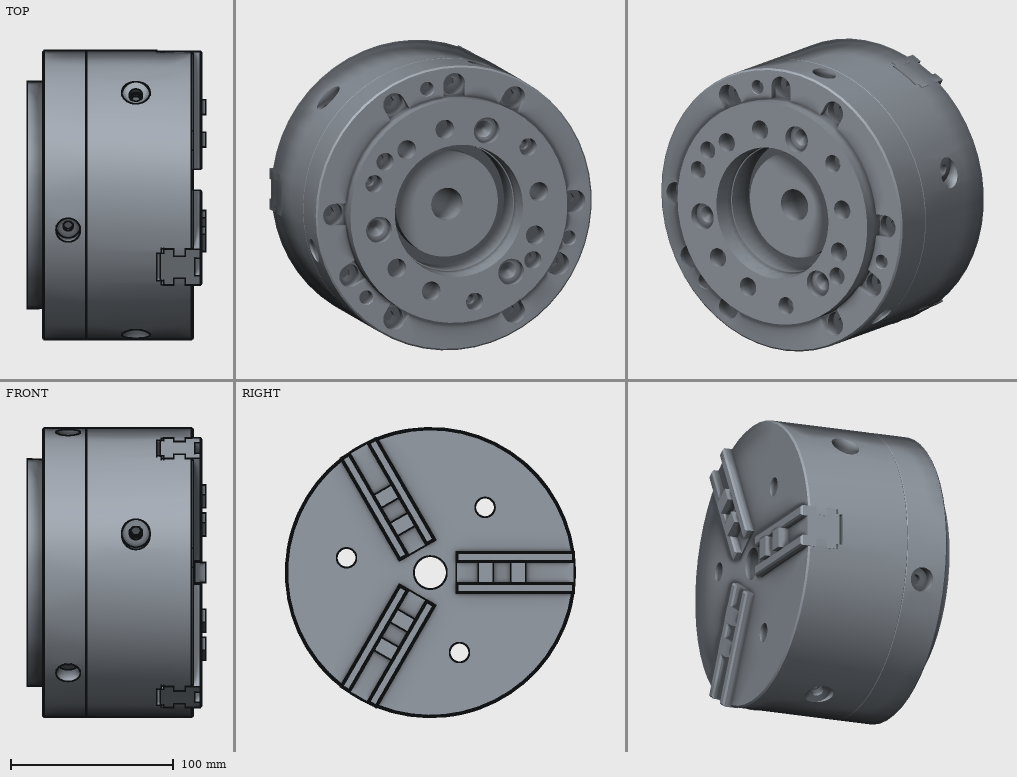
import cadquery as cq
import math

TRIPLE = (0, 120, 240)

body_radius = 89.0
spigot_radius = 70.0
spigot_length = 9.6
spigot_wall_radius = 65.9
seam_x = 36.3
front_x = 102.2
rim_chamfer = 1.0
seam_depth = 0.4
seam_half_width = 0.4
spigot_gap = 0.5
spigot_gap_depth = 0.7

bore_mouth_radius = 41.3
taper_end_radius = 40.4
taper_length = 11.0
bore_radius = 39.7
bore_step_x = 15.0
bore_depth = 33.8
hub_radius = 33.0
hub_face_x = 24.7
center_hole_diameter = 20.1

inner_circle_radius = 52.3
outer_circle_radius = 58.2
mount_hole_diameter = 12.0
mount_hole_depth = 14.2
through_hole_angle = 50
blind_hole_angle = 80
stepped_hole_angle = 110
stepped_hole_diameter = 16.5
stepped_hole_depth = 6.0
drill_cone_diameter = 10.3
drill_tip_half_angle = 59
small_hole_diameter = 11.0
small_hole_depth = 10.7
thread_hole_angle = 20
thread_mouth_diameter = 7.0
thread_core_diameter = 5.0
thread_depth = 8.9
pilot_hole_angles = (35, 215)
pilot_hole_diameter = 5.0
pilot_hole_depth = 3.5

screw_circle_radius = 77.5
screw_angles = [group + 90 + offset for group in TRIPLE for offset in (-30, 0, 30)]
screw_pocket_diameter = 14.0
screw_slot_depth = 4.5
slot_end_radius = 67.6
screw_head_depth = 10.7
hex_socket_diameter = 6.8
hex_socket_depth = 3.5
dowel_angle = 77
dowel_diameter = 8.5
dowel_mouth_diameter = 9.0
dowel_depth = 8.9

rear_port_angle = 104
rear_port_x = 25.3
rear_port_diameter = 15.0
rear_port_floor_radius = 78.3
rear_port_core_diameter = 6.0
rear_port_core_depth = 5.3
pinion_angle = 43.4
pinion_tilt = 26.6
pinion_x = 67.0
pinion_port_diameter = 17.5
pinion_floor_radius = 84.7
pinion_hole_diameter = 8.0
pinion_hole_depth = 6.4
pinion_hex_diameter = 7.0
pinion_hex_depth = 5.0

jaw_inner = 15.8
jaw_outer = 88.5
jaw_width = 25.6
jaw_neck_width = 15.7
jaw_foot_width = 19.4
jaw_x = 81.9
jaw_shoulder_x = 84.0
neck_start_x = 90.2
neck_end_x = 97.2
jaw_front_x = 107.5
jaw_chamfer = 1.0
slot_x = 79.7
slot_shoulder_x = 82.6
key_slot_width = 12.5
key_slot_x = 103.2
key_front_x = 110.0
key_length = 9.3
key_inner_radii = (29.5, 49.5)


def spots(radius, angles):
    """Points (y, z) on a circle about the spindle axis."""
    return [(radius * math.cos(math.radians(a)), radius * math.sin(math.radians(a))) for a in angles]


def triple(first_angle):
    """Three angles, a third of a turn apart."""
    return [first_angle + step for step in TRIPLE]


def axial_hole(points, diameter, start_x, depth):
    return cq.Workplane("YZ", origin=(start_x, 0, 0)).pushPoints(points).circle(diameter / 2).extrude(depth)


def axial_cones(points, start_x, mouth_diameter, end_diameter, depth):
    cone = cq.Solid.makeCone(
        mouth_diameter / 2, end_diameter / 2, depth, pnt=cq.Vector(start_x, 0, 0), dir=cq.Vector(1, 0, 0)
    )
    cones = cq.Workplane("YZ")
    for y, z in points:
        cones = cones.add(cone.translate(cq.Vector(0, y, z)))
    return cones.combine()


def about_axis(shape, angle):
    return shape.rotate((0, 0, 0), (1, 0, 0), angle)


def drill_tip_length(diameter):
    return diameter / 2 / math.tan(math.radians(drill_tip_half_angle))


def make_body():
    """Half section of the chuck, revolved about X; it ends on the center hole."""
    center_radius = center_hole_diameter / 2
    rim = body_radius - rim_chamfer
    gap_radius = spigot_radius + spigot_gap
    section = [
        (hub_face_x, center_radius),
        (hub_face_x, hub_radius),
        (bore_depth, hub_radius),
        (bore_depth, bore_radius),
        (bore_step_x, bore_radius),
        (bore_step_x, taper_end_radius),
        (taper_length, taper_end_radius),
        (0, bore_mouth_radius),
        (0, spigot_radius),
        (spigot_length + spigot_gap_depth, spigot_radius),
        (spigot_length + spigot_gap_depth, gap_radius),
        (spigot_length, gap_radius),
        (spigot_length, rim),
        (spigot_length + rim_chamfer, body_radius),
        (seam_x - seam_half_width, body_radius),
        (seam_x, body_radius - seam_depth),
        (seam_x + seam_half_width, body_radius),
        (front_x - rim_chamfer, body_radius),
        (front_x, rim),
        (front_x, center_radius),
    ]
    return cq.Workplane("XY").polyline(section).close().revolve(360, (0, 0, 0), (1, 0, 0))


def cut_face_holes(body):
    through_spots = spots(inner_circle_radius, triple(through_hole_angle))
    blind_spots = spots(inner_circle_radius, triple(blind_hole_angle))
    body = body.cut(axial_hole(through_spots, mount_hole_diameter, 0, front_x))
    body = body.cut(axial_hole(blind_spots, mount_hole_diameter, 0, mount_hole_depth))

    stepped_spots = spots(inner_circle_radius, triple(stepped_hole_angle))
    body = body.cut(axial_hole(stepped_spots, stepped_hole_diameter, 0, stepped_hole_depth))
    cone_length = drill_tip_length(drill_cone_diameter)
    body = body.cut(axial_cones(stepped_spots, stepped_hole_depth, drill_cone_diameter, 0, cone_length))

    thread_spots = spots(outer_circle_radius, triple(thread_hole_angle))
    chamfer_depth = (thread_mouth_diameter - thread_core_diameter) / 2
    core_end_x = small_hole_depth + thread_depth
    tip_length = drill_tip_length(thread_core_diameter)
    body = body.cut(axial_hole(thread_spots, small_hole_diameter, 0, small_hole_depth))
    chamfers = axial_cones(
        thread_spots, small_hole_depth, thread_mouth_diameter, thread_core_diameter, chamfer_depth
    )
    body = body.cut(chamfers)
    body = body.cut(axial_hole(thread_spots, thread_core_diameter, small_hole_depth, thread_depth))
    body = body.cut(axial_cones(thread_spots, core_end_x, thread_core_diameter, 0, tip_length))

    pilot_spots = spots(outer_circle_radius, pilot_hole_angles)
    body = body.cut(axial_hole(pilot_spots, small_hole_diameter, 0, small_hole_depth))
    return body.cut(axial_hole(pilot_spots, pilot_hole_diameter, small_hole_depth, pilot_hole_depth))


def make_screw_pocket():
    """Round head pocket, its shallow slot reaching into the spigot, with a hex socket in the head."""
    head_x = spigot_length + screw_head_depth
    place = [(screw_circle_radius, 0)]
    pocket = axial_hole(place, screw_pocket_diameter, spigot_length, screw_head_depth)
    slot_length = screw_circle_radius - slot_end_radius
    slot = cq.Workplane("XY").box(
        screw_slot_depth, slot_length, screw_pocket_diameter, centered=(False, False, True)
    ).translate((spigot_length, slot_end_radius, 0))
    socket = (
        cq.Workplane("YZ", origin=(head_x, 0, 0))
        .pushPoints(place)
        .polygon(6, hex_socket_diameter)
        .extrude(hex_socket_depth)
    )
    return pocket.union(slot).union(socket)


def cut_flange_holes(body):
    pocket = make_screw_pocket()
    for angle in screw_angles:
        body = body.cut(about_axis(pocket, angle))
    wall_length = spigot_length + screw_slot_depth
    spigot_wall = cq.Workplane("YZ").circle(spigot_radius).circle(spigot_wall_radius).extrude(wall_length)
    body = body.union(spigot_wall)
    dowel_spots = spots(screw_circle_radius, triple(dowel_angle))
    mouth_depth = (dowel_mouth_diameter - dowel_diameter) / 2
    body = body.cut(axial_hole(dowel_spots, dowel_diameter, spigot_length, dowel_depth))
    return body.cut(
        axial_cones(dowel_spots, spigot_length, dowel_mouth_diameter, dowel_diameter, mouth_depth)
    )


def radial_plane(x, radius):
    """Workplane on the +Y side with its normal pointing outwards."""
    return cq.Workplane("XZ", origin=(x, radius, 0)).transformed(rotate=(180, 0, 0))


def cut_radial_holes(body):
    rear_core_radius = rear_port_floor_radius - rear_port_core_depth
    rear_port = (
        radial_plane(rear_port_x, rear_port_floor_radius).circle(rear_port_diameter / 2).extrude(body_radius)
    )
    rear_core = (
        radial_plane(rear_port_x, rear_core_radius)
        .circle(rear_port_core_diameter / 2)
        .extrude(rear_port_core_depth)
    )
    rear = rear_port.union(rear_core)

    port = radial_plane(pinion_x, 0).circle(pinion_port_diameter / 2).extrude(body_radius)
    hole = (
        radial_plane(pinion_x, -pinion_hole_depth)
        .circle(pinion_hole_diameter / 2)
        .extrude(pinion_hole_depth)
    )
    socket = (
        radial_plane(pinion_x, -pinion_hole_depth - pinion_hex_depth)
        .polygon(6, pinion_hex_diameter)
        .extrude(pinion_hex_depth)
    )
    pinion = about_axis(port.union(hole).union(socket), pinion_tilt)
    pinion = pinion.translate((0, pinion_floor_radius, 0))

    for step in TRIPLE:
        body = body.cut(about_axis(rear, rear_port_angle + step))
        body = body.cut(about_axis(pinion, pinion_angle + step))
    return body


def guide_profile(start_x, shoulder_x, end_x, outer_end):
    """Stepped guide section shared by jaw and slot, extruded radially along +Y."""
    half_section = [
        (start_x, jaw_foot_width / 2),
        (shoulder_x, jaw_foot_width / 2),
        (shoulder_x, jaw_width / 2),
        (neck_start_x, jaw_width / 2),
        (neck_start_x, jaw_neck_width / 2),
        (neck_end_x, jaw_neck_width / 2),
        (neck_end_x, jaw_width / 2),
        (end_x, jaw_width / 2),
    ]
    mirrored = [(x, -z) for x, z in reversed(half_section)]
    plane = cq.Workplane("XZ", origin=(0, jaw_inner, 0))
    return plane.polyline(half_section + mirrored).close().extrude(jaw_inner - outer_end)


def make_jaw():
    jaw = guide_profile(jaw_x, jaw_shoulder_x, jaw_front_x, jaw_outer)
    key_slot = cq.Workplane("XY").box(
        jaw_front_x - key_slot_x, body_radius, key_slot_width, centered=(False, False, True)
    ).translate((key_slot_x, jaw_inner, 0))
    jaw = jaw.cut(key_slot).faces(">X").edges().chamfer(jaw_chamfer)
    for inner in key_inner_radii:
        key = cq.Workplane("XY").box(
            key_front_x - key_slot_x, key_length, key_slot_width, centered=(False, False, True)
        )
        jaw = jaw.union(key.translate((key_slot_x, inner, 0)))
    return jaw


def fit_jaws(body):
    slot = guide_profile(slot_x, slot_shoulder_x, key_front_x, body_radius + jaw_chamfer)
    jaw = make_jaw()
    for angle in TRIPLE:
        body = body.cut(about_axis(slot, angle))
        body = body.union(about_axis(jaw, angle))
    return body


chuck = make_body()
chuck = cut_flange_holes(chuck)
chuck = cut_face_holes(chuck)
chuck = cut_radial_holes(chuck)
result = fit_jaws(chuck).solids()